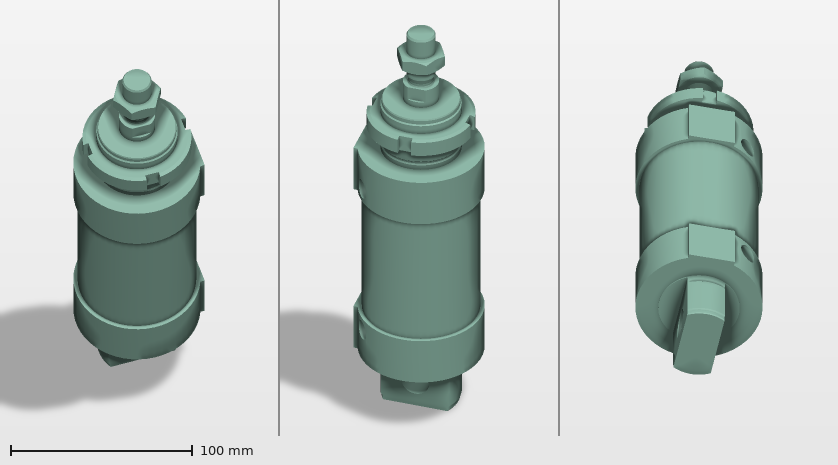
import cadquery as cq
import math


total_height = 244.2

cap_dia = 70.0
tube_dia = 65.5
neck_dia = 45.0
cap_height = 27.8
neck_length = 33.0
housing_height = 200.5
groove_dia = 43.5
groove_offset = 3.0
groove_width = 2.5
slope_height = 0.7
tip_length = 3.7
tip_face_dia = 42.7

pad_width = 26.0
side_hole_dia = 11.2
side_hole_depth = 12.2
side_hole_angle = 39.0
side_hole_offset = 8.0

tongue_width = 21.0
tongue_length = 32.2
pivot_hole_dia = 16.0
pivot_hole_height = 15.9

collar_dia = 20.0
collar_height = 11.5
collar_flat_width = 17.0
collar_flat_height = 7.8
thread_dia = 16.0
thread_tip_dia = 14.7
thread_tip_height = 1.2
relief_dia = 14.0
relief_foot_dia = 15.0
relief_top_dia = 14.5
relief_height = 3.0
relief_slope_height = 0.7
runout_height = 2.2

hex_width = 24.0
hex_height = 8.0
hex_base = 224.0
hex_chamfer_angle = 30.0

ring_dia = 60.0
ring_height = 9.5
ring_base = 182.2
ring_chamfer_width = 2.0
ring_chamfer_height = 0.7
slot_count = 4
slot_width = 7.8
slot_floor_radius = 26.9

lower_cap_base = neck_length
lower_cap_top = lower_cap_base + cap_height
upper_cap_top = housing_height - neck_length
upper_cap_base = upper_cap_top - cap_height


def cylinder(diameter, base, height):
    return cq.Workplane("XY").workplane(offset=base).circle(diameter / 2).extrude(height)


def turned(profile):
    """Solid turned about Z from (diameter, height) points listed from bottom to top."""
    outline = [(diameter / 2, height) for diameter, height in profile]
    bottom = outline[0][1]
    top = outline[-1][1]
    return (
        cq.Workplane("XZ")
        .polyline([(0, bottom), *outline, (0, top)])
        .close()
        .revolve(360, (0, 0), (0, 1))
    )


def make_neck():
    """Lower neck: groove with sloping walls near its cap, and a stepped, chamfered tip at z = 0."""
    groove_top = neck_length - groove_offset
    groove_bottom = groove_top - groove_width
    return turned(
        [
            (tip_face_dia, 0),
            (groove_dia, slope_height),
            (groove_dia, tip_length - slope_height),
            (neck_dia, tip_length),
            (neck_dia, groove_bottom),
            (groove_dia, groove_bottom + slope_height),
            (groove_dia, groove_top - slope_height),
            (neck_dia, groove_top),
            (neck_dia, neck_length),
        ]
    )


def make_cap(base):
    """End cap with a flat pad that is flush with the +Y side of its circle."""
    pad = (
        cq.Workplane("XY")
        .workplane(offset=base)
        .center(0, cap_dia / 4)
        .rect(pad_width, cap_dia / 2)
        .extrude(cap_height)
    )
    return cylinder(cap_dia, base, cap_height).union(pad)


def side_hole(height):
    """Radial cutter for a side hole, turned from +Y towards -X."""
    cutter_length = 2 * side_hole_depth
    return (
        cq.Workplane("XZ", origin=(0, cap_dia / 2 - side_hole_depth, 0))
        .center(0, height)
        .circle(side_hole_dia / 2)
        .extrude(-cutter_length)
        .rotate((0, 0, 0), (0, 0, 1), side_hole_angle)
    )


def tongue_cutters():
    """Two blocks that leave a flat tongue between them, and the pivot hole across it."""
    block_width = (neck_dia - tongue_width) / 2
    block_center = (neck_dia + tongue_width) / 4
    blocks = (
        cq.Workplane("XY")
        .pushPoints([(-block_center, 0), (block_center, 0)])
        .rect(block_width, neck_dia)
        .extrude(tongue_length)
    )
    hole = (
        cq.Workplane("YZ")
        .center(0, pivot_hole_height)
        .circle(pivot_hole_dia / 2)
        .extrude(neck_dia / 2, both=True)
    )
    return blocks.union(hole)


def make_housing():
    mid_height = housing_height / 2
    lower_neck = make_neck()
    upper_neck = lower_neck.mirror("XY", (0, 0, mid_height))
    tube = cylinder(tube_dia, lower_cap_top, upper_cap_base - lower_cap_top)
    housing = tube.union(upper_neck).union(lower_neck.cut(tongue_cutters()))
    for base in [lower_cap_base, upper_cap_base]:
        housing = housing.union(make_cap(base))
    for height in [lower_cap_top - side_hole_offset, upper_cap_base + side_hole_offset]:
        housing = housing.cut(side_hole(height))
    return housing


def make_rod():
    """Rod end standing on the housing: collar with two flats, thread relief and thread."""
    collar_top = housing_height + collar_height
    relief_top = collar_top + relief_height
    rod = turned(
        [
            (collar_dia, housing_height),
            (collar_dia, collar_top),
            (relief_foot_dia, collar_top),
            (relief_dia, collar_top + relief_slope_height),
            (relief_dia, relief_top - relief_slope_height),
            (relief_top_dia, relief_top),
            (thread_dia, relief_top + runout_height),
            (thread_dia, total_height - thread_tip_height),
            (thread_tip_dia, total_height),
        ]
    )
    flats = (
        cq.Workplane("XY")
        .workplane(offset=collar_top - collar_flat_height)
        .rect(2 * collar_dia, 2 * collar_dia)
        .rect(collar_flat_width, 2 * collar_dia)
        .extrude(collar_flat_height)
    )
    return rod.cut(flats)


def make_hex_nut():
    """Hexagon nut with two corners on the Y axis and both ends chamfered to a circle."""
    corner_radius = hex_width / math.sqrt(3)
    chamfer_width = corner_radius - hex_width / 2
    chamfer_height = chamfer_width * math.tan(math.radians(hex_chamfer_angle))
    prism = (
        cq.Workplane("XY")
        .workplane(offset=hex_base)
        .polygon(6, 2 * corner_radius)
        .extrude(hex_height)
        .rotate((0, 0, 0), (0, 0, 1), 30)
    )
    envelope = cylinder(2 * corner_radius, hex_base, hex_height)
    envelope = envelope.faces("<Z or >Z").edges().chamfer(chamfer_height, chamfer_width)
    return prism.intersect(envelope).cut(cylinder(thread_dia, hex_base, hex_height))


def make_ring_nut():
    """Ring nut with a chamfered upper rim and four slots for a hook spanner."""
    ring = cylinder(ring_dia, ring_base, ring_height)
    ring = ring.faces(">Z").edges().chamfer(ring_chamfer_height, ring_chamfer_width)
    ring = ring.cut(cylinder(neck_dia, ring_base, ring_height))
    slot_depth = ring_dia / 2 - slot_floor_radius
    slots = (
        cq.Workplane("XY")
        .workplane(offset=ring_base)
        .polarArray(slot_floor_radius + slot_depth / 2, 0, 360, slot_count)
        .rect(slot_depth, slot_width)
        .extrude(ring_height)
    )
    return ring.cut(slots)


housing = make_housing()
rod = make_rod()
hex_nut = make_hex_nut()
ring_nut = make_ring_nut()

result = cq.Compound.makeCompound([housing.val(), rod.val(), hex_nut.val(), ring_nut.val()])